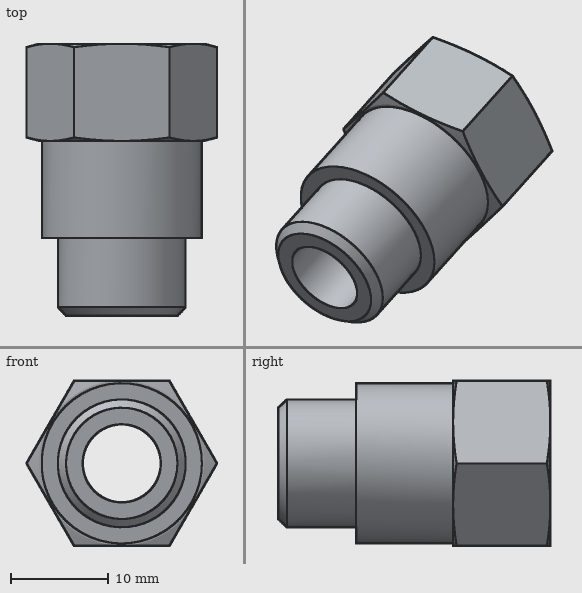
import cadquery as cq
import math

total_length = 28.0
hex_length = 10.0
collar_length = 10.0
tip_length = total_length - hex_length - collar_length

across_flats = 17.0
across_corners = across_flats / math.cos(math.radians(30))
collar_diameter = 16.5
tip_diameter = 13.15
tip_end_diameter = 11.45
bore_diameter = 8.0

tip_chamfer_length = 0.9
hex_face_diameter = across_flats
hex_chamfer_angle = 15.0
hex_corner_drop = (across_corners - hex_face_diameter) / 2 * math.tan(math.radians(hex_chamfer_angle))


def cylinder(diameter, start, length):
    """Cylinder along +Y, starting at Y = start."""
    axis_plane = cq.Plane(origin=(0, start, 0), xDir=(1, 0, 0), normal=(0, 1, 0))
    return cq.Workplane(axis_plane).circle(diameter / 2).extrude(length)


def chamfered_tip():
    """Turned spigot with a conical lead-in at its free end."""
    return (
        cq.Workplane("XY")
        .lineTo(tip_end_diameter / 2, 0)
        .lineTo(tip_diameter / 2, tip_chamfer_length)
        .lineTo(tip_diameter / 2, tip_length)
        .lineTo(0, tip_length)
        .close()
        .revolve(360, (0, 0, 0), (0, 1, 0))
    )


def chamfered_hexagon():
    """Hexagon with corners on the X axis, both ends turned to a shallow cone."""
    start = total_length - hex_length
    plane = cq.Plane(origin=(0, start, 0), xDir=(1, 0, 0), normal=(0, 1, 0))
    hexagon = cq.Workplane(plane).polygon(6, across_corners).extrude(hex_length)
    face_radius = hex_face_diameter / 2
    corner_radius = across_corners / 2
    envelope = (
        cq.Workplane("XY")
        .moveTo(0, start)
        .lineTo(face_radius, start)
        .lineTo(corner_radius, start + hex_corner_drop)
        .lineTo(corner_radius, total_length - hex_corner_drop)
        .lineTo(face_radius, total_length)
        .lineTo(0, total_length)
        .close()
        .revolve(360, (0, 0, 0), (0, 1, 0))
    )
    return hexagon.intersect(envelope)


tip = chamfered_tip()
collar = cylinder(collar_diameter, tip_length, collar_length)
bore = cylinder(bore_diameter, 0, total_length)

result = tip.union(collar).union(chamfered_hexagon()).cut(bore)